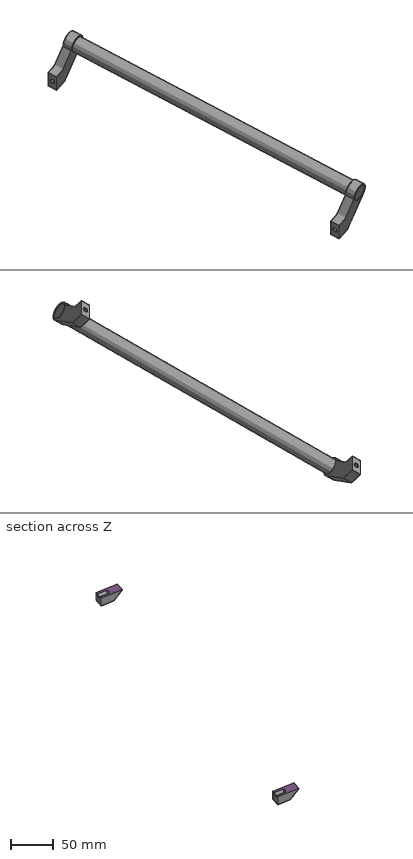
import cadquery as cq
import math

length = 412.0
envelope = 54.0

bracket_thickness = 12.0
foot_height = 24.0
head_radius = foot_height / 2
elbow_radius = 7.0

rod_diameter = 19.8
end_recess = 0.5

hole_diameter = 5.0
hole_depth = 12.5
rim_diameter = 6.0
drill_tip_angle = 118.0

axis_y = envelope - head_radius
axis_z = envelope - head_radius
bracket_centre_x = (length - bracket_thickness) / 2


def bracket(centre_x):
    """Round head, 45 degree arm and square foot, with a seat for the rod."""
    diagonal = head_radius / math.sqrt(2)
    front_y = axis_y - head_radius
    elbow_y = front_y - (axis_z - foot_height)
    tangent_y = axis_y + diagonal
    tangent_z = axis_z - diagonal
    heel_y = tangent_y - tangent_z

    body = (
        cq.Workplane("YZ", origin=(centre_x - bracket_thickness / 2, 0, 0))
        .moveTo(0, 0)
        .lineTo(0, foot_height)
        .lineTo(elbow_y, foot_height)
        .lineTo(front_y, axis_z)
        .threePointArc((axis_y, axis_z + head_radius), (tangent_y, tangent_z))
        .lineTo(heel_y, 0)
        .close()
        .extrude(bracket_thickness)
    )
    elbow = cq.selectors.NearestToPointSelector((centre_x, elbow_y, foot_height))
    body = body.edges("|X").edges(elbow).fillet(elbow_radius)
    return body.cut(mounting_hole(centre_x)).cut(rod(length))


def mounting_hole(centre_x):
    """Blind drilled hole along Y, revolved with its mouth chamfer and conical tip."""
    radius = hole_diameter / 2
    rim_radius = rim_diameter / 2
    tip_length = radius / math.tan(math.radians(drill_tip_angle / 2))
    return (
        cq.Workplane("XY", origin=(centre_x, 0, foot_height / 2))
        .moveTo(0, 0)
        .lineTo(rim_radius, 0)
        .lineTo(radius, rim_radius - radius)
        .lineTo(radius, hole_depth)
        .lineTo(0, hole_depth + tip_length)
        .close()
        .revolve(360, (0, 0, 0), (0, 1, 0))
    )


def rod(rod_length):
    """Cylinder along X, centred on the head axis."""
    return (
        cq.Workplane("YZ", origin=(-rod_length / 2, axis_y, axis_z))
        .circle(rod_diameter / 2)
        .extrude(rod_length)
    )


result = rod(length - 2 * end_recess)
for side in (-1, 1):
    result = result.union(bracket(side * bracket_centre_x))